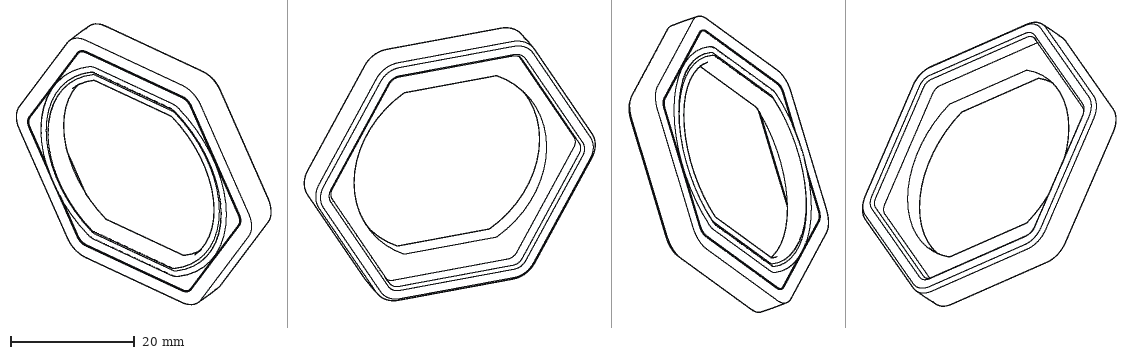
import cadquery as cq
import math

side_count = 6
width_across_corners = 48.8
corner_radius = 4.5
body_thickness = 5.65
draft_angle = 1.0
back_chamfer = 0.6

opening_radius = 16.7
opening_half_height = 14.65
opening_corner_radius = 0.15
rim_relief_length = 0.4
rim_relief_angle = 11.0

pocket_inset = 2.65
pocket_chamfer = 0.5
pocket_chamfer_angle = 45.0

bead_count = 2
bead_radius = 0.5
bead_spacing = 1.45

groove_inset = 2.4
groove_width = 0.15
groove_depth = 0.15

half_thickness = body_thickness / 2
apothem_ratio = math.cos(math.radians(180 / side_count))
apothem = apothem_ratio * (width_across_corners / 2 - corner_radius) + corner_radius
core_radius = opening_radius - opening_corner_radius
core_half_height = opening_half_height - opening_corner_radius
core_corner_x = math.sqrt(core_radius**2 - core_half_height**2)


def front_plane(y):
    """Workplane at the given Y, with its normal toward -Y."""
    return cq.Workplane("XZ", origin=(0, y, 0))


def rounded_hexagon(plane, inset=0.0):
    """Outer hexagon outline, moved inward by the inset."""
    sharp_diameter = 2 * (apothem - corner_radius) / apothem_ratio
    return plane.polygon(side_count, sharp_diameter).offset2D(corner_radius - inset)


def opening_outline(plane, distance=0.0):
    """Opening outline with rounded corners, moved outward by the distance."""
    core = (
        plane.moveTo(-core_corner_x, core_half_height)
        .lineTo(core_corner_x, core_half_height)
        .threePointArc((core_radius, 0), (core_corner_x, -core_half_height))
        .lineTo(-core_corner_x, -core_half_height)
        .threePointArc((-core_radius, 0), (-core_corner_x, core_half_height))
        .close()
    )
    return core.offset2D(opening_corner_radius + distance, "arc")


def body():
    """Solid hexagon drafted both ways from its middle plane, chamfered at the back."""
    middle = front_plane(half_thickness)
    front_half = rounded_hexagon(middle).extrude(half_thickness, taper=draft_angle)
    back_half = rounded_hexagon(middle).extrude(-half_thickness, taper=draft_angle)
    both = front_half.union(back_half, clean=False)
    return both.faces(">Y").edges().chamfer(back_chamfer)


def pocket():
    """Hexagonal pocket from the middle plane to the back face, flared at its mouth."""
    straight = rounded_hexagon(front_plane(half_thickness), pocket_inset).extrude(-half_thickness)
    mouth = rounded_hexagon(front_plane(body_thickness), pocket_inset - pocket_chamfer)
    return straight.union(mouth.extrude(pocket_chamfer, taper=pocket_chamfer_angle))


def opening():
    """Cut through the front half, widening slightly where it meets the pocket floor."""
    straight = opening_outline(front_plane(half_thickness)).extrude(half_thickness)
    relief_start = front_plane(half_thickness - rim_relief_length)
    relief = opening_outline(relief_start).extrude(-rim_relief_length, taper=-rim_relief_angle)
    return straight.union(relief)


def bead(distance):
    """Half-round bead whose centre line runs at the given distance outside the opening."""
    path = opening_outline(front_plane(0), distance)
    centre_height = opening_half_height + distance
    profile = (
        cq.Workplane("YZ")
        .moveTo(0, centre_height - bead_radius)
        .threePointArc((-bead_radius, centre_height), (0, centre_height + bead_radius))
        .close()
    )
    return profile.sweep(path)


def groove():
    outer = rounded_hexagon(front_plane(0), groove_inset).extrude(-groove_depth)
    inner = rounded_hexagon(front_plane(0), groove_inset + groove_width).extrude(-groove_depth)
    return outer.cut(inner)


result = body().cut(pocket()).cut(opening()).cut(groove())
for bead_number in range(bead_count):
    result = result.union(bead(bead_radius + bead_number * bead_spacing))